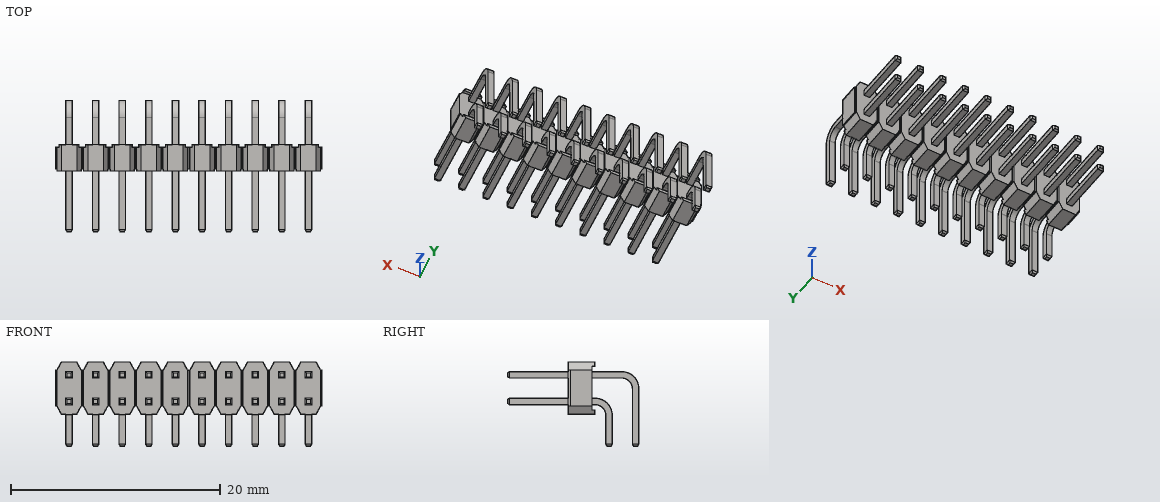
import cadquery as cq


header_length = 25.4
module_count = 10
pitch = header_length / module_count
row_spacing = pitch

block_width = 2.34
block_depth = pitch
block_height = 5.0
corner_width = 0.43
corner_height = 0.8
web_setback = 0.2
recess_depth = 0.25
lip_height = 0.43

pin_size = 0.64
mating_length = 5.8
rear_reach = 6.75
leg_drop = 3.05
bend_radius = 1.65
tip_length = 0.2
tip_inset = 0.122

tip_end_size = pin_size - 2 * tip_inset
leg_end_z = -block_height / 2 - leg_drop


def make_block():
    """Insulator block with slanted corners, a stepped back and a full-pitch web."""
    half_width = block_width / 2
    half_height = block_height / 2
    flat_x = half_width - corner_width
    flat_z = half_height - corner_height
    octagon = [
        (-flat_x, half_height),
        (flat_x, half_height),
        (half_width, flat_z),
        (half_width, -flat_z),
        (flat_x, -half_height),
        (-flat_x, -half_height),
        (-half_width, -flat_z),
        (-half_width, flat_z),
    ]
    profile = cq.Workplane("XZ").polyline(octagon).close().extrude(-block_depth)

    back_y = block_depth - recess_depth
    web = cq.Workplane("XY").box(pitch, back_y - web_setback, 2 * flat_z)
    web = web.translate((0, (web_setback + back_y) / 2, 0))

    step_height = block_height - 2 * lip_height
    back_step = cq.Workplane("XY").box(block_width, 2 * recess_depth, step_height)
    back_step = back_step.translate((0, block_depth, 0))

    return profile.cut(back_step).union(web)


def make_tip(direction, origin):
    """Square pyramid frustum that grows from a wire end along the given direction."""
    return (
        cq.Workplane(cq.Plane(origin=origin, xDir=(1, 0, 0), normal=direction))
        .rect(pin_size, pin_size)
        .workplane(offset=tip_length)
        .rect(tip_end_size, tip_end_size)
        .loft(ruled=True)
    )


def make_pin(center_z, back_y):
    """Square wire at height center_z, bent down into a leg whose back is at back_y."""
    front_y = -mating_length + tip_length
    leg_z = leg_end_z + tip_length
    top_z = center_z + pin_size / 2
    bend_y = back_y - bend_radius
    bend_z = top_z - bend_radius
    inner_radius = bend_radius - pin_size

    straight_length = bend_y - front_y
    mating_wire = cq.Workplane("XY").box(pin_size, straight_length, pin_size)
    mating_wire = mating_wire.translate((0, (front_y + bend_y) / 2, center_z))

    leg_center_y = back_y - pin_size / 2
    leg_length = bend_z - leg_z
    leg = cq.Workplane("XY").box(pin_size, pin_size, leg_length)
    leg = leg.translate((0, leg_center_y, (bend_z + leg_z) / 2))

    bend = (
        cq.Workplane("YZ")
        .workplane(offset=-pin_size / 2)
        .center(bend_y, bend_z)
        .circle(bend_radius)
        .circle(inner_radius)
        .extrude(pin_size)
    )
    quarter = cq.Workplane("XY").box(pin_size, bend_radius, bend_radius, centered=(True, False, False))
    bend = bend.intersect(quarter.translate((0, bend_y, bend_z)))

    front_tip = make_tip((0, -1, 0), (0, front_y, center_z))
    leg_tip = make_tip((0, 0, -1), (0, leg_center_y, leg_z))
    return mating_wire.union(bend).union(leg).union(front_tip).union(leg_tip)


def make_module():
    """One block with its upper and lower pin, as a single solid."""
    upper_pin = make_pin(row_spacing / 2, rear_reach)
    lower_pin = make_pin(-row_spacing / 2, rear_reach - row_spacing)
    return make_block().union(upper_pin).union(lower_pin)


module = make_module().solids().val()
header_modules = []
for index in range(module_count):
    module_x = (index - (module_count - 1) / 2) * pitch
    header_modules.append(module.translate(cq.Vector(module_x, 0, 0)))

result = cq.Compound.makeCompound(header_modules)